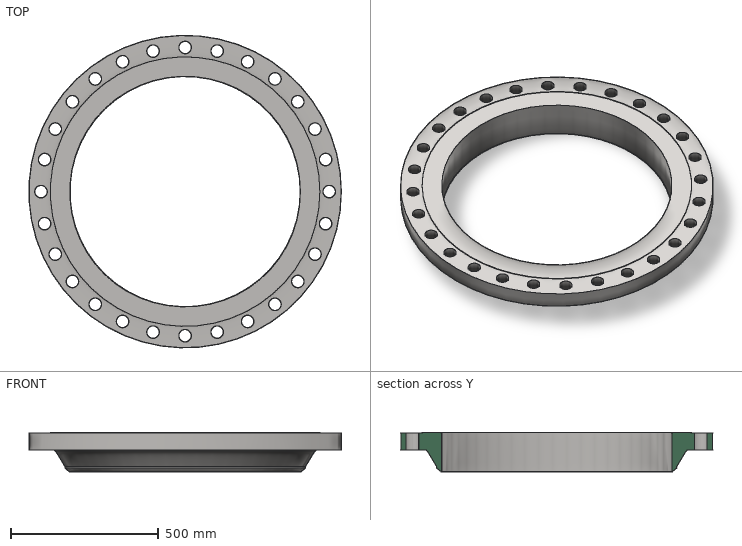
import cadquery as cq

flange_diameter = 1060.0
bore_diameter = 780.0
total_height = 135.0
flange_thickness = 58.0

raised_face_diameter = 914.0
raised_face_height = 2.0

neck_root_diameter = 884.0
neck_root_fillet = 11.0
weld_end_diameter = 817.0
weld_end_height = 18.0
weld_bevel_height = 13.0
weld_bevel_width = 16.0

bolt_count = 28
bolt_circle_diameter = 978.0
bolt_hole_diameter = 41.0

flange_top = total_height - raised_face_height
flange_bottom = flange_top - flange_thickness


def make_body():
    """Revolve the half section of the flange, neck and weld end about Z."""
    bore_radius = bore_diameter / 2
    weld_end_radius = weld_end_diameter / 2
    section = [
        (bore_radius, 0),
        (weld_end_radius - weld_bevel_width, 0),
        (weld_end_radius, weld_bevel_height),
        (weld_end_radius, weld_end_height),
        (neck_root_diameter / 2, flange_bottom),
        (flange_diameter / 2, flange_bottom),
        (flange_diameter / 2, flange_top),
        (raised_face_diameter / 2, flange_top),
        (raised_face_diameter / 2, total_height),
        (bore_radius, total_height),
    ]
    body = cq.Workplane("XZ").polyline(section).close().revolve(360, (0, 0), (0, 1))
    neck_root = cq.selectors.RadiusNthSelector(-3)
    return body.edges("%CIRCLE").edges(neck_root).fillet(neck_root_fillet)


def make_bolt_holes():
    """Cylinders on the bolt circle, one of them on the +X axis."""
    return (
        cq.Workplane("XY")
        .workplane(offset=flange_bottom)
        .polarArray(bolt_circle_diameter / 2, 0, 360, bolt_count)
        .circle(bolt_hole_diameter / 2)
        .extrude(flange_thickness)
    )


result = make_body().cut(make_bolt_holes())